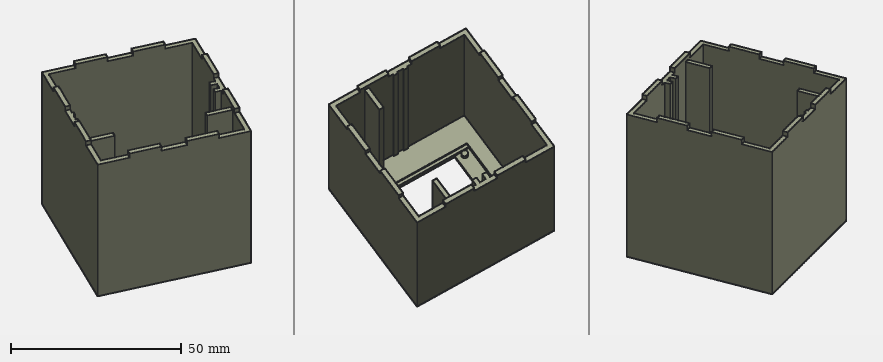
import cadquery as cq

side = 48.0
height = 50.0
wall = 1.6
floor = 2.0

tab_height = 1.5
tab_length = 10.0
tab_offset = 9.0

guide_width = 1.5
guide_centers = (-1.75, 1.75)
guide_depth_back = 1.9
guide_depth_front = 0.5

support_width = 1.5
support_length = 8.0
support_x = 11.7

board_length = 39.8
board_width = 28.0
board_x = 2.0
board_depth = 0.5
panel_length = 34.8
panel_depth = 1.2
window = 25.8

pin_diameter = 2.0
pin_spacing_x = 35.0
pin_spacing_y = 23.0

half = side / 2
inner_half = half - wall
rim = height - tab_height


def block(x_min, x_max, y_min, y_max, z_min, z_max):
    """Axis-aligned block given by its limits."""
    size = (x_max - x_min, y_max - y_min, z_max - z_min)
    return cq.Workplane("XY").box(*size, centered=False).translate((x_min, y_min, z_min))


def make_shell():
    """Open box whose rim carries two tabs on every wall."""
    shell = block(-half, half, -half, half, 0, rim)
    shell = shell.cut(block(-inner_half, inner_half, -inner_half, inner_half, floor, rim))
    for center in (-tab_offset, tab_offset):
        start = center - tab_length / 2
        tab = block(start, start + tab_length, inner_half, half, rim, height)
        for turn in (0, 90, 180, 270):
            shell = shell.union(tab.rotate((0, 0, 0), (0, 0, 1), turn))
    return shell


def wall_rib(direction, x_center, width, depth, top):
    """Upright rib on the +Y (direction 1) or -Y (direction -1) wall, rooted in the wall and floor."""
    y_limits = sorted((direction * (inner_half - depth), direction * half))
    return block(x_center - width / 2, x_center + width / 2, *y_limits, 0, top)


def make_ribs():
    """Guide ribs and board supports of both Y walls."""
    ribs = cq.Workplane("XY")
    for direction, guide_depth in ((1, guide_depth_back), (-1, guide_depth_front)):
        for x_center in guide_centers:
            ribs = ribs.add(wall_rib(direction, x_center, guide_width, guide_depth, rim))
        ribs = ribs.add(wall_rib(direction, support_x, support_width, support_length, rim))
    return ribs.combine()


def make_display_seat():
    """Material removed from the floor: board recess, panel pocket and through window."""
    x_min = board_x - board_length / 2
    half_board = board_width / 2
    half_window = window / 2
    recess = block(x_min, x_min + board_length, -half_board, half_board, floor - board_depth, floor)
    pocket = block(x_min, x_min + panel_length, -half_window, half_window, floor - panel_depth, floor)
    opening = block(-half_window, half_window, -half_window, half_window, 0, floor)
    return recess.union(pocket).union(opening)


def make_pins():
    """Four pins rising from the lowest seat level to the floor surface."""
    return (
        cq.Workplane("XY", origin=(board_x, 0, floor - panel_depth))
        .rect(pin_spacing_x, pin_spacing_y, forConstruction=True)
        .vertices()
        .circle(pin_diameter / 2)
        .extrude(panel_depth)
    )


result = make_shell().union(make_ribs()).cut(make_display_seat()).union(make_pins())